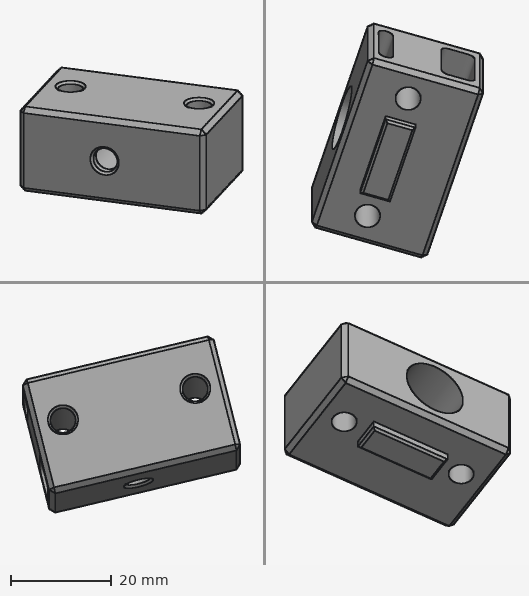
import cadquery as cq

length = 39.0
width = 24.0
height = 18.0
edge_chamfer = 1.0

bore_diameter = 5.0
mouth_diameter = 6.0
mouth_depth = (mouth_diameter - bore_diameter) / 2
end_hole_inset = 6.0
centreline_inset = 10.0
hole_line_y = width / 2 - centreline_inset
end_hole_xs = (-length / 2 + end_hole_inset, length / 2 - end_hole_inset)
cross_hole_x = -length / 2 + 18.0
mid_z = height / 2

pocket_margin = 3.0
side_wall = 2.0
pocket_height = height - 2 * pocket_margin
pocket_depth = 10.0
slot_width = 3.0
wide_pocket_width = 7.0
pocket_corner_radius = slot_width / 2

chamber_diameter = 13.0

pad_length = 17.0
pad_width = 6.2
pad_height = 2.0
pad_chamfer = 0.5


def countersunk_bore(origin, direction, through_length):
    """Cutter running from a mouth at origin along direction."""
    start = cq.Vector(*origin)
    axis = cq.Vector(*direction)
    bore = cq.Solid.makeCylinder(bore_diameter / 2, through_length, start, axis)
    mouth = cq.Solid.makeCone(mouth_diameter / 2, bore_diameter / 2, mouth_depth, start, axis)
    return cq.Workplane(bore).union(cq.Workplane(mouth))


def pocket(pocket_width, centre_y):
    """Pocket volume with rounded corners, extending inward from the -X face."""
    section = cq.Workplane("YZ", origin=(-length / 2, centre_y, mid_z))
    if pocket_width > 2 * pocket_corner_radius:
        prism = section.rect(pocket_width, pocket_height).extrude(pocket_depth)
        return prism.edges("|X").fillet(pocket_corner_radius)
    return section.slot2D(pocket_height, pocket_width, 90).extrude(pocket_depth)


def cross_chamber():
    """Wide bore from the +Y face, coaxial with the cross hole and stopping at its thin wall."""
    return (
        cq.Workplane("XZ", origin=(cross_hole_x, width / 2, mid_z))
        .circle(chamber_diameter / 2)
        .extrude(width - side_wall)
    )


def bottom_pad():
    """Pad below the block with a chamfered lower rim."""
    return (
        cq.Workplane("XY", origin=(0, hole_line_y, 0))
        .rect(pad_length, pad_width)
        .extrude(-pad_height)
        .faces("<Z")
        .chamfer(pad_chamfer)
    )


block = cq.Workplane("XY").box(length, width, height, centered=(True, True, False))
result = block.edges().chamfer(edge_chamfer).union(bottom_pad())
result = result.cut(pocket(slot_width, width / 2 - side_wall - slot_width / 2))
result = result.cut(pocket(wide_pocket_width, -width / 2 + side_wall + wide_pocket_width / 2))
result = result.cut(cross_chamber())

for hole_x in end_hole_xs:
    result = result.cut(countersunk_bore((hole_x, hole_line_y, height), (0, 0, -1), height))

result = result.cut(countersunk_bore((cross_hole_x, -width / 2, mid_z), (0, 1, 0), width))